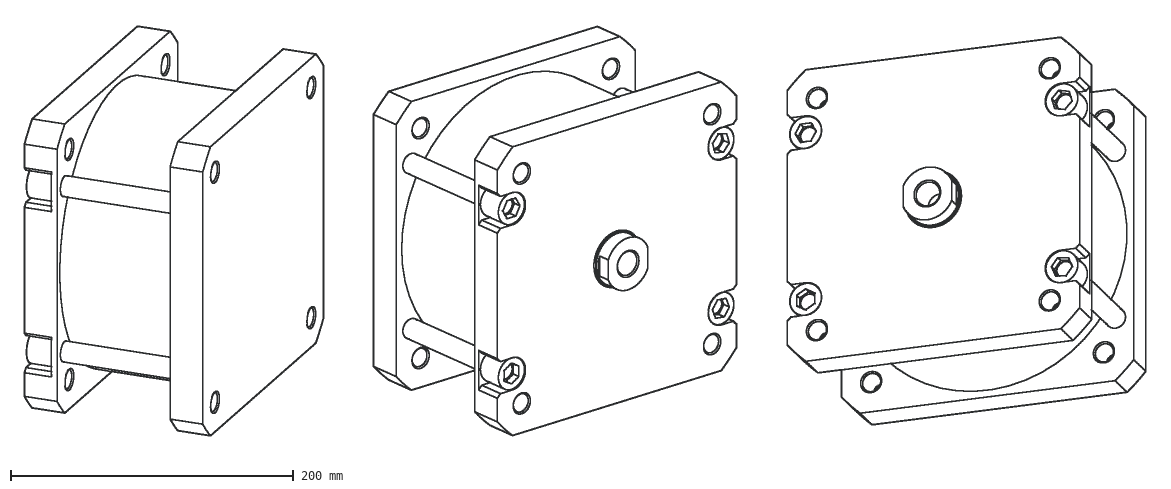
import cadquery as cq
import math


plate_side = 220.0
plate_corner_diameter = 292.0
plate_thickness = 25.0
mounting_hole_spacing = 175.1
mounting_hole_diameter = 13.6
mounting_hole_chamfer = 1.0

barrel_diameter = 209.9
barrel_length = 86.7
back_plate_x = plate_thickness + barrel_length

bolt_spacing_y = 192.7
bolt_spacing_z = 125.8
shank_diameter = 15.0
shank_depth_in_back_plate = 17.5
head_diameter = 24.0
head_sink = 0.9
socket_width = 13.6
socket_depth = 6.2
socket_floor_diameter = 12.3
socket_floor_depth = 0.5
bolt_places = [(1, 1, 0), (1, -1, 30), (-1, 1, 13), (-1, -1, 7)]

pocket_width = 24.5
pocket_depth = 20.7
pocket_mouth_chamfer = 2.9

rod_diameter = 39.5
rod_protrusion = 12.3
rod_flat_width = 36.5
rod_flat_length = 9.5
rod_bore_diameter = 17.8
rod_bore_depth = 26.5
rod_bore_chamfer = 1.0
drill_point_angle = 118.0
lip_base_diameter = 42.5
lip_top_diameter = 41.0
lip_height = 0.9


def cylinder(diameter, x_start, length):
    """Cylinder around the X axis, from x_start toward +X."""
    return cq.Workplane("YZ", origin=(x_start, 0, 0)).circle(diameter / 2).extrude(length)


def frustum(start_diameter, end_diameter, x_start, length):
    """Cone frustum around the X axis, from x_start toward +X."""
    cone = cq.Solid.makeCone(
        start_diameter / 2, end_diameter / 2, length, cq.Vector(x_start, 0, 0), cq.Vector(1, 0, 0)
    )
    return cq.Workplane("XY").add(cone)


def on_bolt_axis(body, side_y, side_z):
    """Move a body from the X axis to one bolt axis."""
    return body.translate((0, side_y * bolt_spacing_y / 2, side_z * bolt_spacing_z / 2))


def end_plate(x_start):
    """Square plate with turned corners and four mounting holes chamfered at both ends."""
    square = cq.Workplane("YZ", origin=(x_start, 0, 0)).rect(plate_side, plate_side).extrude(plate_thickness)
    plate = square.intersect(cylinder(plate_corner_diameter, x_start, plate_thickness))
    holes = (
        cq.Workplane("YZ", origin=(x_start, 0, 0))
        .rect(mounting_hole_spacing, mounting_hole_spacing, forConstruction=True)
        .vertices()
        .circle(mounting_hole_diameter / 2)
        .extrude(plate_thickness)
    )
    hole_rims = cq.selectors.RadiusNthSelector(0)
    return plate.cut(holes).edges("%CIRCLE").edges(hole_rims).chamfer(mounting_hole_chamfer)


def bolt_pocket(side_y, side_z):
    """Round-ended pocket for a bolt head, open to the plate's side through a flared mouth."""
    axis_to_side = (plate_side - bolt_spacing_y) / 2
    flare_start = axis_to_side - pocket_mouth_chamfer
    half_width = pocket_width / 2
    mouth_half_width = half_width + pocket_mouth_chamfer
    pocket = (
        cq.Workplane("YZ")
        .moveTo(axis_to_side, -mouth_half_width)
        .lineTo(flare_start, -half_width)
        .lineTo(0, -half_width)
        .threePointArc((-half_width, 0), (0, half_width))
        .lineTo(flare_start, half_width)
        .lineTo(axis_to_side, mouth_half_width)
        .close()
        .extrude(pocket_depth)
    )
    if side_y < 0:
        pocket = pocket.mirror("XZ")
    return on_bolt_axis(pocket, side_y, side_z)


def make_front_plate():
    """End plate with a lipped rod hole, bolt pockets and bolt holes."""
    plate = end_plate(0).union(frustum(lip_top_diameter, lip_base_diameter, -lip_height, lip_height))
    plate = plate.cut(cylinder(rod_diameter, -lip_height, lip_height + plate_thickness))
    for side_y, side_z, _ in bolt_places:
        plate = plate.cut(bolt_pocket(side_y, side_z))
        plate = plate.cut(on_bolt_axis(cylinder(shank_diameter, 0, plate_thickness), side_y, side_z))
    return plate


def make_back_plate():
    """End plate with blind holes for the bolt ends."""
    plate = end_plate(back_plate_x)
    bolt_hole = cylinder(shank_diameter, back_plate_x, shank_depth_in_back_plate)
    for side_y, side_z, _ in bolt_places:
        plate = plate.cut(on_bolt_axis(bolt_hole, side_y, side_z))
    return plate


def make_tie_bolt(side_y, side_z, socket_turn):
    """Socket-head bolt that spans the barrel and ends inside the back plate."""
    bolt_end_x = back_plate_x + shank_depth_in_back_plate
    head = cylinder(head_diameter, head_sink, pocket_depth - head_sink)
    shank = cylinder(shank_diameter, pocket_depth, bolt_end_x - pocket_depth)
    socket_corner_diameter = socket_width / math.cos(math.pi / 6)
    socket = (
        cq.Workplane("YZ", origin=(head_sink, 0, 0))
        .polygon(6, socket_corner_diameter)
        .extrude(socket_depth)
        .rotate((0, 0, 0), (1, 0, 0), socket_turn)
    )
    socket_floor = cylinder(socket_floor_diameter, head_sink + socket_depth, socket_floor_depth)
    bolt = head.union(shank).cut(socket).cut(socket_floor)
    return on_bolt_axis(bolt, side_y, side_z)


def rod_flats():
    """Material outside the two wrench flats at the rod's end."""
    end = cylinder(rod_diameter, -rod_protrusion, rod_flat_length)
    between_flats = (
        cq.Workplane("YZ", origin=(-rod_protrusion, 0, 0))
        .rect(rod_flat_width, rod_diameter)
        .extrude(rod_flat_length)
    )
    return end.cut(between_flats)


def rod_bore():
    """Blind bore with a chamfered mouth and a drill point."""
    point_length = rod_bore_diameter / 2 / math.tan(math.radians(drill_point_angle / 2))
    mouth_diameter = rod_bore_diameter + 2 * rod_bore_chamfer
    bore = cylinder(rod_bore_diameter, -rod_protrusion, rod_bore_depth)
    mouth = frustum(mouth_diameter, rod_bore_diameter, -rod_protrusion, rod_bore_chamfer)
    point = frustum(rod_bore_diameter, 0, rod_bore_depth - rod_protrusion, point_length)
    return bore.union(mouth).union(point)


def make_piston_rod():
    """Rod through the front plate, ending against the barrel."""
    rod = cylinder(rod_diameter, -rod_protrusion, rod_protrusion + plate_thickness)
    return rod.cut(rod_flats()).cut(rod_bore())


front_plate = make_front_plate()
back_plate = make_back_plate()
barrel = cylinder(barrel_diameter, plate_thickness, barrel_length)
piston_rod = make_piston_rod()
tie_bolts = [make_tie_bolt(*place).val() for place in bolt_places]

result = cq.Compound.makeCompound(
    [front_plate.val(), back_plate.val(), barrel.val(), piston_rod.val(), *tie_bolts]
)